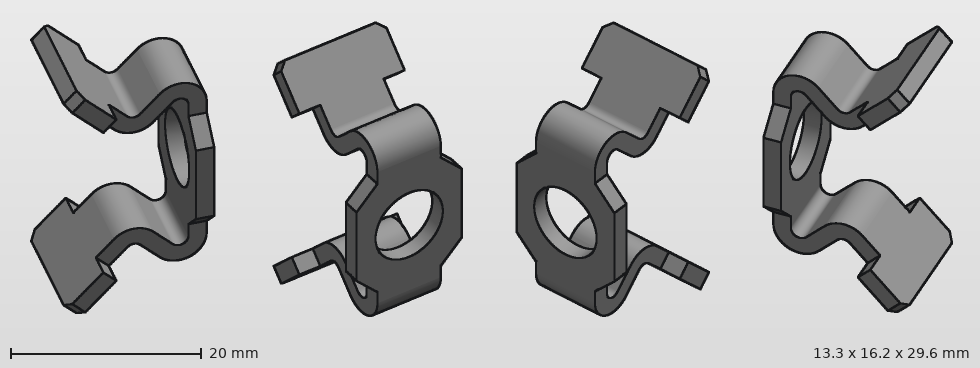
import cadquery as cq
import math

height = 29.6
depth = 16.25
width = 13.3

thickness = 2.0
inner_radius = 1.0
outer_radius = inner_radius + thickness
bend_spacing = inner_radius + outer_radius
link_length = 3.05

neck_width = 8.02
hole_diameter = 8.5
plate_half_height = 7.2
plate_chamfer = (width - neck_width) / 2

head_length = 5.77
head_chamfer = 0.95

slope = math.sqrt(0.5)
leg_length = (depth - outer_radius) / slope - bend_spacing - link_length - outer_radius
back_bend_z = height / 2 - slope * (bend_spacing - link_length + leg_length - inner_radius)
back_bend = (-outer_radius, back_bend_z)
front_bend = (
    back_bend[0] - slope * (bend_spacing + link_length),
    back_bend[1] + slope * (bend_spacing - link_length),
)


def around(center, radius, degrees):
    """Point in the YZ plane on a circle about center."""
    angle = math.radians(degrees)
    return (center[0] + radius * math.cos(angle), center[1] + radius * math.sin(angle))


def along_leg(point, distance):
    """Point moved up the sloping leg, toward -Y and +Z."""
    return (point[0] - slope * distance, point[1] + slope * distance)


leg_under = around(front_bend, outer_radius, 225)
leg_upper = around(front_bend, inner_radius, 225)
tip_under = along_leg(leg_under, leg_length)
tip_upper = along_leg(leg_upper, leg_length)


def make_strip():
    """Neck-width bent strip from mid-height to the upper tip."""
    return (
        cq.Workplane("YZ")
        .moveTo(0, 0)
        .lineTo(0, back_bend[1])
        .threePointArc(around(back_bend, outer_radius, 67.5), around(back_bend, outer_radius, 135))
        .lineTo(*around(front_bend, inner_radius, 315))
        .threePointArc(around(front_bend, inner_radius, 270), leg_upper)
        .lineTo(*tip_upper)
        .lineTo(*tip_under)
        .lineTo(*leg_under)
        .threePointArc(around(front_bend, outer_radius, 270), around(front_bend, outer_radius, 315))
        .lineTo(*around(back_bend, inner_radius, 135))
        .threePointArc(around(back_bend, inner_radius, 67.5), around(back_bend, inner_radius, 0))
        .lineTo(-thickness, 0)
        .close()
        .extrude(neck_width / 2, both=True)
    )


def make_head():
    """Wide end of the leg, with its two tip corners cut off."""
    leg_plane = cq.Plane(
        origin=(0, *tip_under), xDir=(1, 0, 0), normal=(0, slope, slope)
    )
    return (
        cq.Workplane(leg_plane)
        .moveTo(-width / 2, head_length)
        .lineTo(width / 2, head_length)
        .lineTo(width / 2, head_chamfer)
        .lineTo(width / 2 - head_chamfer, 0)
        .lineTo(head_chamfer - width / 2, 0)
        .lineTo(-width / 2, head_chamfer)
        .close()
        .extrude(thickness)
    )


def make_plate():
    """Octagonal back plate."""
    return (
        cq.Workplane("XZ")
        .rect(width, 2 * plate_half_height)
        .extrude(thickness)
        .edges("|Y")
        .chamfer(plate_chamfer)
    )


arm = make_strip().union(make_head())
body = make_plate().union(arm).union(arm.mirror("XY"))
hole = cq.Workplane("XZ").circle(hole_diameter / 2).extrude(thickness)
result = body.cut(hole)